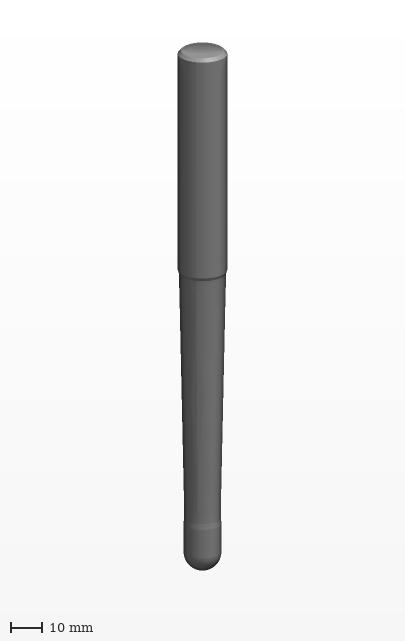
import cadquery as cq
import math

length = 180.0
shank_radius = 16.0 / 2

top_chamfer_width = 1.0
top_chamfer_height = 1.0
shoulder_chamfer_width = 0.4
shoulder_z = 104.0
shoulder_chamfer_height = 1.0

neck_radius = shank_radius - shoulder_chamfer_width
neck_bottom_z = 100.0
taper_top_radius = 7.5
taper_bottom_radius = 6.0
taper_bottom_z = 21.0

tip_radius = 6.1
groove_bottom_z = 18.0
cone_bottom_z = 16.0


def half_profile():
    """Closed radius-height outline of the rod, on one side of its axis."""
    arc_mid = tip_radius * math.sqrt(0.5)
    return (
        cq.Workplane("XZ")
        .moveTo(0, 0)
        .threePointArc((arc_mid, tip_radius - arc_mid), (tip_radius, tip_radius))
        .lineTo(tip_radius, cone_bottom_z)
        .lineTo(taper_bottom_radius, groove_bottom_z)
        .lineTo(taper_bottom_radius, taper_bottom_z)
        .lineTo(taper_top_radius, neck_bottom_z)
        .lineTo(neck_radius, shoulder_z - shoulder_chamfer_height)
        .lineTo(shank_radius, shoulder_z)
        .lineTo(shank_radius, length - top_chamfer_height)
        .lineTo(shank_radius - top_chamfer_width, length)
        .lineTo(0, length)
        .close()
    )


def rod_half(start_angle):
    """Half of the rod, cut along its axis, starting at an angle about Z."""
    half = half_profile().revolve(180, (0, 0, 0), (0, 1, 0))
    return half.rotate((0, 0, 0), (0, 0, 1), start_angle)


rod_halves = [rod_half(angle) for angle in (90, -90)]

result = cq.Compound.makeCompound([half.val() for half in rod_halves])